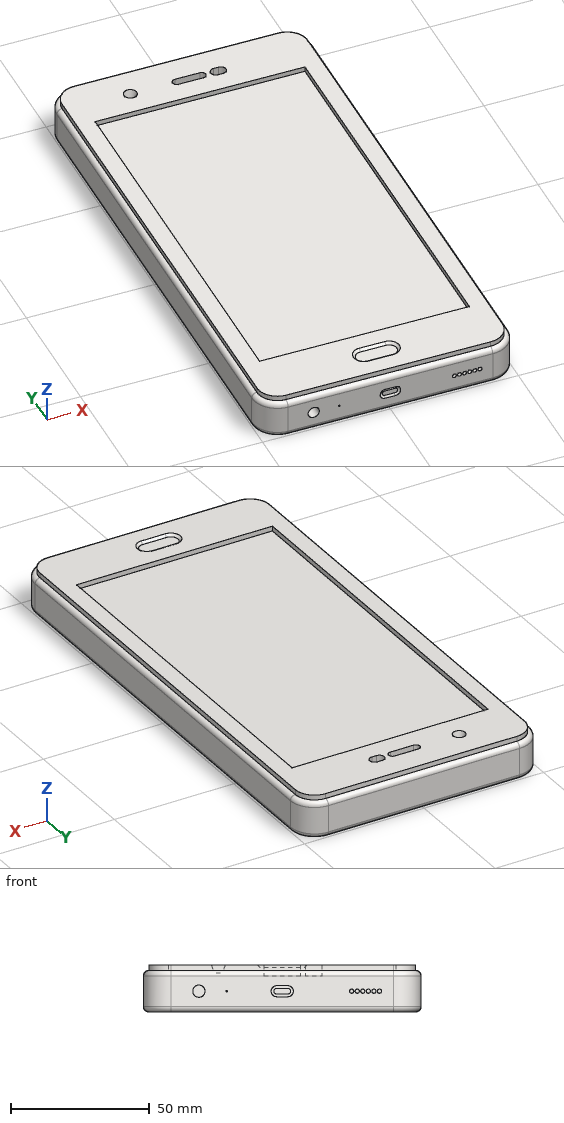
import cadquery as cq

WIDTH = 100.0
LENGTH = 200.0
HEIGHT = 17.0
CORNER_RADIUS = 10.0
EDGE_RADIUS = 2.0
PLATE_HEIGHT = 2.0
PLATE_INSET = EDGE_RADIUS
CASE_HEIGHT = HEIGHT - PLATE_HEIGHT

SCREEN_WIDTH = 82.0
SCREEN_LENGTH = 152.0
SCREEN_DEPTH = 2.0

TOP_ROW_Y = 86.0
CAMERA_X = -23.0
CAMERA_DIAMETER = 5.0
CAMERA_FLOOR_DIAMETER = 3.0
CAMERA_DEPTH = 3.0
EARPIECE_LENGTH = 13.0
EARPIECE_WIDTH = 3.2
SENSOR_X = 11.5
SENSOR_LENGTH = 6.0
SENSOR_WIDTH = 4.0
SLOT_DEPTH = 4.0

BUTTON_Y = -87.0
BUTTON_LENGTH = 18.0
BUTTON_WIDTH = 8.0
BUTTON_DEPTH = 1.0
BUTTON_WALL_INSET = 1.0

PORT_Z = CASE_HEIGHT / 2
JACK_X = -30.0
JACK_DIAMETER = 4.5
JACK_DEPTH = 10.0
MICROPHONE_X = -20.0
MICROPHONE_DIAMETER = 0.5
MICROPHONE_DEPTH = 2.0
USB_LENGTH = 8.0
USB_WIDTH = 4.0
USB_DEPTH = 6.0
TONGUE_LENGTH = 6.0
TONGUE_WIDTH = 2.0
TONGUE_SETBACK = 0.5
SPEAKER_X = 30.0
SPEAKER_HOLES = 6
SPEAKER_PITCH = 2.0
SPEAKER_DIAMETER = 1.5
SPEAKER_DEPTH = 2.0


def rounded_block(width, length, height, corner_radius):
    """Upright block standing on Z = 0 with rounded vertical edges."""
    block = cq.Workplane("XY").rect(width, length).extrude(height)
    return block.edges("|Z").fillet(corner_radius)


def front_plane(x, y):
    """Workplane on the front plate, facing +Z."""
    return cq.Workplane("XY", origin=(x, y, HEIGHT))


def end_plane(x, setback=0.0):
    """Workplane parallel to the -Y end, facing outward."""
    return cq.Workplane("XZ", origin=(x, setback - LENGTH / 2, PORT_Z))


def make_body():
    case = rounded_block(WIDTH, LENGTH, CASE_HEIGHT, CORNER_RADIUS)
    case = case.faces("<Z or >Z").edges().fillet(EDGE_RADIUS)
    plate = rounded_block(
        WIDTH - 2 * PLATE_INSET,
        LENGTH - 2 * PLATE_INSET,
        HEIGHT - EDGE_RADIUS,
        CORNER_RADIUS - PLATE_INSET,
    )
    return case.union(plate.translate((0, 0, EDGE_RADIUS)))


def cut_screen(body):
    screen = front_plane(0, 0).rect(SCREEN_WIDTH, SCREEN_LENGTH).extrude(-SCREEN_DEPTH)
    return body.cut(screen)


def cut_top_row(body):
    camera = (
        front_plane(CAMERA_X, TOP_ROW_Y)
        .circle(CAMERA_DIAMETER / 2)
        .workplane(offset=-CAMERA_DEPTH)
        .circle(CAMERA_FLOOR_DIAMETER / 2)
        .loft()
    )
    earpiece = front_plane(0, TOP_ROW_Y).slot2D(EARPIECE_LENGTH, EARPIECE_WIDTH).extrude(-SLOT_DEPTH)
    sensor = front_plane(SENSOR_X, TOP_ROW_Y).slot2D(SENSOR_LENGTH, SENSOR_WIDTH).extrude(-SLOT_DEPTH)
    return body.cut(camera).cut(earpiece).cut(sensor)


def cut_home_button(body):
    button = (
        front_plane(0, BUTTON_Y)
        .slot2D(BUTTON_LENGTH, BUTTON_WIDTH)
        .workplane(offset=-BUTTON_DEPTH)
        .slot2D(BUTTON_LENGTH - 2 * BUTTON_WALL_INSET, BUTTON_WIDTH - 2 * BUTTON_WALL_INSET)
        .loft()
    )
    return body.cut(button)


def cut_end_hole(body, x, diameter, depth):
    return body.cut(end_plane(x).circle(diameter / 2).extrude(-depth))


def cut_usb_port(body):
    socket = end_plane(0).slot2D(USB_LENGTH, USB_WIDTH).extrude(-USB_DEPTH)
    tongue_reach = USB_DEPTH - TONGUE_SETBACK
    tongue = end_plane(0, TONGUE_SETBACK).slot2D(TONGUE_LENGTH, TONGUE_WIDTH).extrude(-tongue_reach)
    return body.cut(socket.cut(tongue))


def cut_speaker(body):
    first_x = SPEAKER_X - (SPEAKER_HOLES - 1) * SPEAKER_PITCH / 2
    for index in range(SPEAKER_HOLES):
        hole_x = first_x + index * SPEAKER_PITCH
        body = cut_end_hole(body, hole_x, SPEAKER_DIAMETER, SPEAKER_DEPTH)
    return body


result = make_body()
result = cut_screen(result)
result = cut_top_row(result)
result = cut_home_button(result)
result = cut_end_hole(result, JACK_X, JACK_DIAMETER, JACK_DEPTH)
result = cut_end_hole(result, MICROPHONE_X, MICROPHONE_DIAMETER, MICROPHONE_DEPTH)
result = cut_usb_port(result)
result = cut_speaker(result)